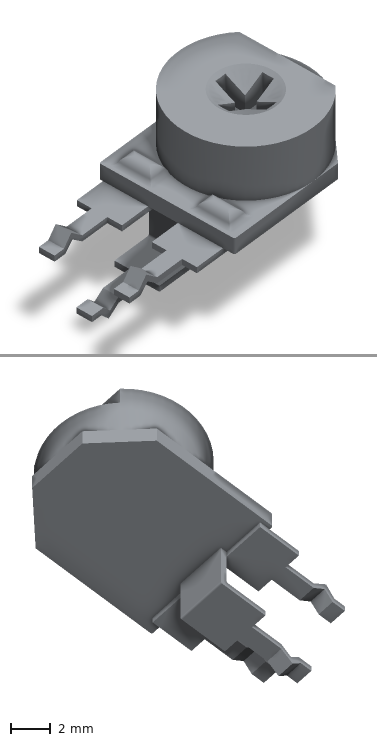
import cadquery as cq


drum_radius = 4.5
board_thickness = 1.04
board_front = -6.0
back_corner_chamfer = 2.64
front_corner_radius = 0.1
drum_height = 3.51
drum_step_y = 3.16
drum_step_depth = 1.19

recess_radius = 2.01
recess_depth = 1.14
slot_length = 3.4
slot_width = 0.75
slot_depth = 1.98

bump_x = 2.62
bump_y = -4.9
bump_ridge_length = 1.04
bump_ridge_width = 0.05
bump_side_run = 0.85
bump_height = 0.55
bump_foot_height = 0.2
bump_crown_run = 0.55

terminal_pitch = 2.49
middle_terminal_x = -0.26
sheet_thickness = 0.4
bend_radius = 0.1
shoulder_width = 3.0
pin_width = 1.04
side_terminal_back = -5.35
shoulder_front = -7.98
pin_tip = -11.98
lower_leg_bottom = -2.97

side_kink_start = -9.87
middle_kink_start = -9.95
kink_outer_apex = -10.71
kink_inner_apex = -10.61
kink_outer_end = -11.27
side_kink_inner_end = -11.15
middle_kink_inner_end = -11.12
side_kink_rise = 0.7
side_kink_inner_rise = 0.6
middle_kink_drop = 0.56
middle_kink_inner_drop = 0.5

drum_top = board_thickness + drum_height


def box(x_range, y_range, z_range):
    """Box between the given limits along each axis."""
    size = [high - low for low, high in (x_range, y_range, z_range)]
    return cq.Workplane("XY").box(*size, centered=False).translate((x_range[0], y_range[0], z_range[0]))


def make_board():
    """Board with wide chamfers at the back corners and small rounds at the front ones."""
    board = box((-drum_radius, drum_radius), (board_front, drum_radius), (0, board_thickness))
    board = board.edges("|Z and >Y").chamfer(back_corner_chamfer)
    return board.edges("|Z and <Y").fillet(front_corner_radius)


def make_drum():
    """Drum with a step cut down along its back."""
    drum = cq.Workplane("XY").workplane(offset=board_thickness).circle(drum_radius).extrude(drum_height)
    step = box(
        (-drum_radius, drum_radius),
        (drum_step_y, drum_radius),
        (drum_top - drum_step_depth, drum_top),
    )
    return drum.cut(step)


def make_recess():
    """Conical dish with a cross slot in its middle."""
    cone = cq.Solid.makeCone(0, recess_radius, recess_depth)
    dish = cq.Workplane("XY").add(cone.translate(cq.Vector(0, 0, drum_top - recess_depth)))
    slot_plane = cq.Workplane("XY").workplane(offset=drum_top - slot_depth)
    slot_along_x = slot_plane.rect(slot_length, slot_width).extrude(slot_depth)
    slot_along_y = slot_plane.rect(slot_width, slot_length).extrude(slot_depth)
    return dish.union(slot_along_x).union(slot_along_y)


def arc_middle(start, end, centre):
    """Point halfway along the minor arc from start to end."""
    middle = (cq.Vector(*start) + cq.Vector(*end)) / 2
    centre = cq.Vector(*centre)
    radius = (cq.Vector(*start) - centre).Length
    point = centre + (middle - centre).normalized() * radius
    return (point.x, point.y)


def bump_slab(plane, flat_half_length):
    """Bump profile on both sides of a flat, extruded well past the bump across the plane."""
    reach = bump_ridge_length + bump_side_run
    flat = flat_half_length
    crown = (flat, bump_height)
    joint = (flat + bump_crown_run, bump_foot_height)
    foot = (flat + bump_side_run, 0)

    crown_rise = bump_height - bump_foot_height
    crown_radius = (bump_crown_run**2 + crown_rise**2) / (2 * crown_rise)
    foot_run = bump_side_run - bump_crown_run
    foot_radius = (foot_run**2 + bump_foot_height**2) / (2 * bump_foot_height)
    crown_middle = arc_middle(crown, joint, (flat, bump_height - crown_radius))
    foot_middle = arc_middle(joint, foot, (foot[0], foot_radius))

    def mirrored(point):
        return (-point[0], point[1])

    profile = cq.Workplane(plane).workplane(offset=-reach).moveTo(*crown)
    profile = profile.threePointArc(crown_middle, joint)
    profile = profile.threePointArc(foot_middle, foot)
    profile = profile.lineTo(*mirrored(foot))
    profile = profile.threePointArc(mirrored(foot_middle), mirrored(joint))
    profile = profile.threePointArc(mirrored(crown_middle), mirrored(crown))
    return profile.close().extrude(2 * reach)


def make_bump():
    """Solder bump centred on the origin, its ridge along X."""
    across = bump_slab("YZ", bump_ridge_width / 2)
    along = bump_slab("XZ", bump_ridge_length / 2)
    return across.intersect(along)


def make_housing():
    """Board, drum and both solder bumps as one body."""
    housing = make_board().union(make_drum()).cut(make_recess())
    for x in (-bump_x, bump_x):
        housing = housing.union(make_bump().translate((x, bump_y, board_thickness)))
    return housing


def plan_outline(x, back):
    """Block with the plan shape of a terminal: a wide shoulder, then a narrow pin."""
    z_range = (2 * lower_leg_bottom, side_kink_rise)
    shoulder = box((x - shoulder_width / 2, x + shoulder_width / 2), (shoulder_front, back), z_range)
    pin = box((x - pin_width / 2, x + pin_width / 2), (pin_tip, shoulder_front), z_range)
    return shoulder.union(pin)


def extrude_side_profile(points):
    """Side profile of (y, z) points, extruded across the whole part."""
    start_plane = cq.Workplane("YZ").workplane(offset=-drum_radius)
    return start_plane.polyline(points).close().extrude(2 * drum_radius)


def make_side_terminal(x):
    """Flat strip under the board whose pin is kinked upwards."""
    bottom = -sheet_thickness
    strip = extrude_side_profile([
        (side_terminal_back, 0),
        (side_kink_start, 0),
        (kink_outer_apex, side_kink_rise),
        (kink_outer_end, 0),
        (pin_tip, 0),
        (pin_tip, bottom),
        (side_kink_inner_end, bottom),
        (kink_inner_apex, bottom + side_kink_inner_rise),
        (side_kink_start, bottom),
        (side_terminal_back, bottom),
    ])
    return strip.intersect(plan_outline(x, side_terminal_back))


def make_middle_terminal():
    """Strip that hangs from the board, bends forward and has its pin kinked downwards."""
    wall_front = side_terminal_back
    wall_back = wall_front + sheet_thickness
    leg_top = lower_leg_bottom + sheet_thickness
    strip = extrude_side_profile([
        (wall_back, 0),
        (wall_back, lower_leg_bottom),
        (middle_kink_start, lower_leg_bottom),
        (kink_outer_apex, lower_leg_bottom - middle_kink_drop),
        (kink_outer_end, lower_leg_bottom),
        (pin_tip, lower_leg_bottom),
        (pin_tip, leg_top),
        (middle_kink_inner_end, leg_top),
        (kink_inner_apex, leg_top - middle_kink_inner_drop),
        (middle_kink_start, leg_top),
        (wall_front, leg_top),
        (wall_front, 0),
    ])
    for corner in ((0, wall_back, lower_leg_bottom), (0, wall_front, leg_top)):
        strip = strip.edges(cq.selectors.NearestToPointSelector(corner)).fillet(bend_radius)
    return strip.intersect(plan_outline(middle_terminal_x, wall_back))


housing = make_housing()
middle_terminal = make_middle_terminal()
side_terminals = []
for side in (-1, 1):
    side_terminals.append(make_side_terminal(middle_terminal_x + side * terminal_pitch))

result = cq.Compound.makeCompound([
    housing.val(),
    middle_terminal.val(),
    *[terminal.val() for terminal in side_terminals],
])